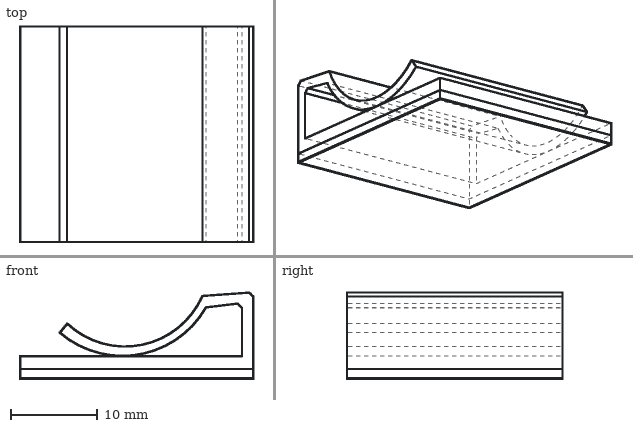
import cadquery as cq
import math

length = 27.01
width = 25.0
height = 10.0

liner_thickness = 0.1
tape_thickness = 1.03
clip_bottom = liner_thickness + tape_thickness

base_thickness = 1.5
base_top = clip_bottom + base_thickness
wall_thickness = 1.33
wall_inner_x = length - wall_thickness

roof_front_x = 21.11
roof_under_front_x = 21.53
roof_under_back_z = 8.7
corner_chamfer = 0.48

arm_clearance = 0.01
upper_radius = 9.78
upper_center_x = 12.15
upper_center_z = 13.53
lower_radius = 11.15
lower_center_x = 11.85
lower_center_z = base_top + arm_clearance + lower_radius
tip_upper_x = 5.45
tip_lower_x = 4.58


def upper_face_point(x):
    """Point (X, Z) on the upper face of the spring arm."""
    return x, upper_center_z - math.sqrt(upper_radius**2 - (x - upper_center_x)**2)


def lower_face_point(x):
    """Point (X, Z) on the lower face of the spring arm."""
    return x, lower_center_z - math.sqrt(lower_radius**2 - (x - lower_center_x)**2)


def extrude_across(profile):
    """Extrude a closed XZ profile over the full width, centred on Y = 0."""
    return profile.extrude(width / 2, both=True)


def make_layer(bottom, thickness):
    """Flat layer covering the whole footprint."""
    return extrude_across(cq.Workplane("XZ").moveTo(0, bottom).rect(length, thickness, centered=False))


def make_clip():
    """Base plate, rear wall, roof and spring arm in one piece."""
    profile = (
        cq.Workplane("XZ")
        .moveTo(0, clip_bottom)
        .lineTo(length, clip_bottom)
        .lineTo(length, height - corner_chamfer)
        .lineTo(length - corner_chamfer, height)
        .lineTo(*upper_face_point(roof_front_x))
        .threePointArc(upper_face_point(upper_center_x), upper_face_point(tip_upper_x))
        .lineTo(*lower_face_point(tip_lower_x))
        .threePointArc(lower_face_point(lower_center_x), lower_face_point(roof_under_front_x))
        .lineTo(wall_inner_x - corner_chamfer, roof_under_back_z)
        .lineTo(wall_inner_x, roof_under_back_z - corner_chamfer)
        .lineTo(wall_inner_x, base_top)
        .lineTo(0, base_top)
        .close()
    )
    return extrude_across(profile)


liner = make_layer(0, liner_thickness)
tape = make_layer(liner_thickness, tape_thickness)
clip = make_clip()

result = cq.Compound.makeCompound([liner.val(), tape.val(), clip.val()])